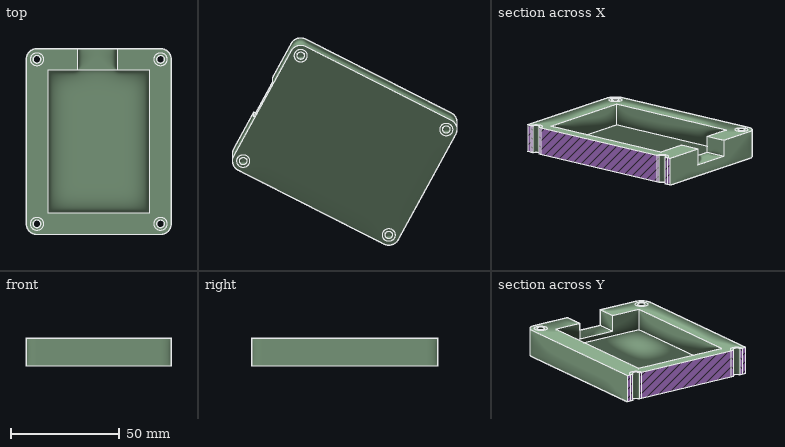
import cadquery as cq

LENGTH_X = 67.1
LENGTH_Y = 86.0
HEIGHT = 13.0
CORNER_RADIUS = 5.0

WALL = 10.0
FLOOR = 3.0
POCKET_X = LENGTH_X - 2 * WALL
POCKET_Y = LENGTH_Y - 2 * WALL

NOTCH_WIDTH = 18.5
NOTCH_DEPTH = 7.7
NOTCH_CENTER_X = -0.6

SLEEVE_DIAMETER = 6.0
SLEEVE_BORE = 3.4
SLEEVE_X = LENGTH_X / 2 - CORNER_RADIUS
SLEEVE_Y = LENGTH_Y / 2 - CORNER_RADIUS
SLEEVE_CENTERS = [(side_x * SLEEVE_X, side_y * SLEEVE_Y) for side_x in (-1, 1) for side_y in (-1, 1)]


def upright_box(size_x, size_y, size_z, center_x, center_y, bottom_z):
    """Box standing on bottom_z and centred on the given X and Y."""
    box = cq.Workplane("XY").box(size_x, size_y, size_z, centered=(True, True, False))
    return box.translate((center_x, center_y, bottom_z))


def make_housing():
    """Rounded block with a pocket, a wall notch and a through hole for each sleeve."""
    block = upright_box(LENGTH_X, LENGTH_Y, HEIGHT, 0, 0, 0).edges("|Z").fillet(CORNER_RADIUS)
    pocket = upright_box(POCKET_X, POCKET_Y, HEIGHT - FLOOR, 0, 0, FLOOR)
    notch_center_y = (LENGTH_Y - WALL) / 2
    notch = upright_box(NOTCH_WIDTH, WALL, NOTCH_DEPTH, NOTCH_CENTER_X, notch_center_y, HEIGHT - NOTCH_DEPTH)
    sleeve_holes = cq.Workplane("XY").pushPoints(SLEEVE_CENTERS).circle(SLEEVE_DIAMETER / 2).extrude(HEIGHT)
    return block.cut(pocket).cut(notch).cut(sleeve_holes)


def make_sleeve(center):
    """Full-height tube that fills one corner hole."""
    profile = cq.Workplane("XY").center(*center).circle(SLEEVE_DIAMETER / 2).circle(SLEEVE_BORE / 2)
    return profile.extrude(HEIGHT)


housing = make_housing()
sleeves = [make_sleeve(center) for center in SLEEVE_CENTERS]

result = cq.Compound.makeCompound([housing.val(), *[sleeve.val() for sleeve in sleeves]])